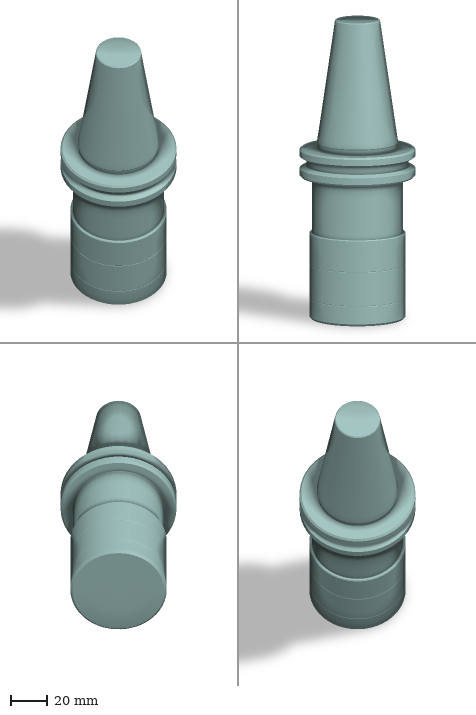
import cadquery as cq

total_height = 166.4
gauge_radius = 22.3
gauge_z = 98.0
taper_ratio = 7 / 24
tip_chamfer = 0.5
neck_radius = 22.0
gauge_lip = 0.5

flange_radius = 31.8
flange_top_z = 95.0
flange_bottom_z = 79.0
flange_chamfer = 1.0
groove_radius = 28.0
groove_center_z = 87.2
groove_mouth_width = 6.8
groove_floor_width = 3.8
groove_wall_foot_radius = 29.3

body_radius = 25.0
body_bevel = 0.5

sleeve_radius = 26.5
sleeve_height = 48.1
sleeve_top_chamfer = 0.5
sleeve_bottom_chamfer = 1.3
joint_groove_heights = (11.3, 30.3)
joint_groove_width = 0.5
joint_groove_depth = 0.2


def cylinder(radius, bottom_z, top_z):
    return cq.Workplane("XY").workplane(offset=bottom_z).circle(radius).extrude(top_z - bottom_z)


def revolve_profile(points):
    """Turn a closed (radius, height) outline about the Z axis."""
    return cq.Workplane("XZ").polyline(points).close().revolve(360, (0, 0, 0), (0, 1, 0))


def make_taper():
    tip_radius = gauge_radius - (total_height - gauge_z) * taper_ratio / 2
    cone = revolve_profile([
        (0, flange_top_z),
        (neck_radius, flange_top_z),
        (neck_radius, gauge_z - gauge_lip),
        (gauge_radius, gauge_z),
        (tip_radius, total_height),
        (0, total_height),
    ])
    return cone.faces(">Z").chamfer(tip_chamfer)


def make_flange():
    disc = cylinder(flange_radius, flange_bottom_z, flange_top_z).edges().chamfer(flange_chamfer)
    half_mouth = groove_mouth_width / 2
    half_floor = groove_floor_width / 2
    groove = revolve_profile([
        (groove_radius, groove_center_z - half_floor),
        (groove_wall_foot_radius, groove_center_z - half_floor),
        (flange_radius, groove_center_z - half_mouth),
        (flange_radius, groove_center_z + half_mouth),
        (groove_wall_foot_radius, groove_center_z + half_floor),
        (groove_radius, groove_center_z + half_floor),
    ])
    return disc.cut(groove)


def make_body():
    """Straight body with a small bevel spreading into the flange."""
    return revolve_profile([
        (0, sleeve_height),
        (body_radius, sleeve_height),
        (body_radius, flange_bottom_z - body_bevel),
        (body_radius + body_bevel, flange_bottom_z),
        (body_radius, flange_top_z),
        (0, flange_top_z),
    ])


def make_sleeve():
    sleeve = cylinder(sleeve_radius, 0, sleeve_height)
    sleeve = sleeve.faces(">Z").chamfer(sleeve_top_chamfer)
    sleeve = sleeve.faces("<Z").chamfer(sleeve_bottom_chamfer)
    half_width = joint_groove_width / 2
    for height in joint_groove_heights:
        groove = revolve_profile([
            (sleeve_radius, height - half_width),
            (sleeve_radius - joint_groove_depth, height),
            (sleeve_radius, height + half_width),
        ])
        sleeve = sleeve.cut(groove)
    return sleeve


result = make_sleeve().union(make_body()).union(make_flange()).union(make_taper())